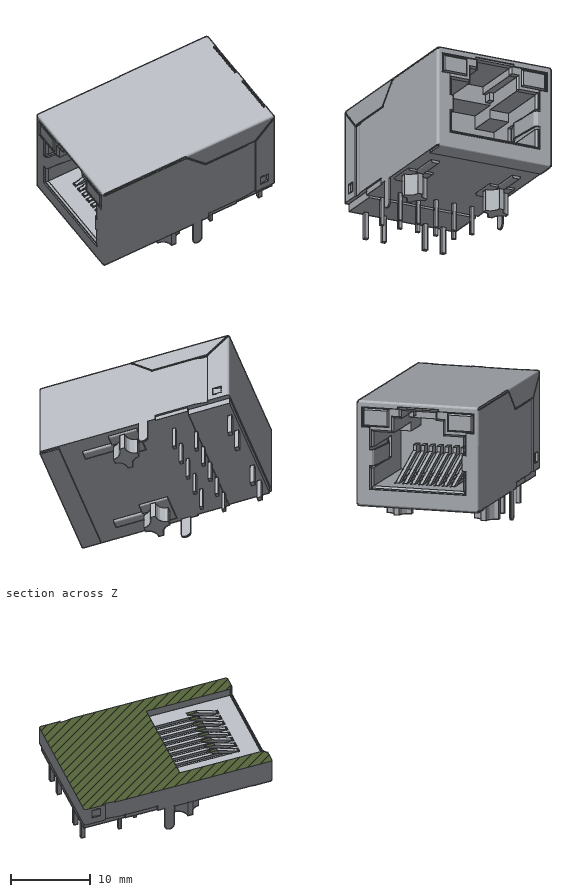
import cadquery as cq
import math


width = 16.2
length = 25.3
top_z = 13.23
half_width = width / 2
sheet = 0.2
bend_radius = 0.3
pad_depth = 0.28
lip_length = 2.55
raised_start = 15.43
raised_z = 0.75
inner_half = half_width - sheet

flap_front = 14.98
flap_rear = 22.42
flap_z = 10.15
flap_gap = 0.15
corner_slot_width = 0.18
corner_slot_height = 0.28

jog_length = 1.97
jog_overcut = 0.25
latch_y = 23.68
latch_z = 2.33
latch_length = 1.15
latch_height = 1.25
latch_depth = 0.4
latch_rise = 0.35
latch_fall = 0.15
latch_gap = 0.1

rear_notch_x = 3.42
rear_notch_width = 5.1
rear_notch_depth = 0.45
rear_notch_height = 0.3
rear_slit_y = 25.0
rear_slit_width = 0.13
rear_slit_depth = 0.25

mouth_half = 6.17
mouth_floor = 2.1
mouth_shoulder = 9.56
step_half = 3.52
step_z = 11.45
key_half = 2.5
key_z = 12.47
mouth_bevel = 0.25
cavity_depth = 11.65
stop_y = 7.6
shoulder_stop_z = 8.15
latch_stop_z = 9.9
stop_block_half = 2.65
stop_block_z = 10.17
stop_block_length = 1.0

window_half = 6.35
window_floor = 1.95
led_window_half = 7.41
led_window_floor = 9.9
led_window_top = 12.42
key_window_half = 2.68
key_window_top = 12.7

lens_x = 5.55
lens_z = 11.13
lens_width = 3.36
lens_height = 2.3
lens_bevel = 0.18

spring_bottom = 4.98
spring_height = 2.05
spring_bend = 0.45
spring_reach = 5.35
spring_tip_start = 4.68
spring_tip_end = 5.09
spring_end = 7.2
relief_margin = 0.33
relief_depth = 7.85

wire_count = 8
wire_span = 7.3
wire_pitch = wire_span / (wire_count - 1)
wire_width = 0.45
wire_thickness = 0.35
wire_slot_width = 0.6
wire_slot_front = 2.88
wire_slot_depth = 0.38
wire_start_y = 3.04
wire_bend_y = 10.37
wire_bend_z = 5.09
wire_top_z = 5.8

base_front = 19.68
base_rear = 25.15
base_half = 7.55
pin_count = 10
pin_span = 11.44
pin_pitch = pin_span / (pin_count - 1)
pin_width = 0.45
pin_length_y = 0.38
pin_bottom = -3.67
pin_rows_y = (19.68, 17.18)
led_pin_size = 0.53
led_pin_y = 24.55
led_pins_x = (2.93, 5.46)
leg_bottom = -3.77
leg_y = 13.85
leg_width = 1.25
post_x = 5.75
post_y = 10.78
post_size = 3.2
post_scallop = 1.26
post_bottom = -3.09
pad_length = 3.8
pad_width = 3.55
pad_y = 10.9
pad_rounding = 0.25
rib_front = 5.15
rib_width = 1.2
rib_bottom = -0.35
rib_rounding = 0.3


def block(x0, x1, y0, y1, z0, z1):
    """Axis-aligned box between two corners."""
    return cq.Workplane("XY").box(x1 - x0, y1 - y0, z1 - z0, centered=False).translate((x0, y0, z0))


def both_sides(solid):
    """The solid together with its mirror image across the YZ plane."""
    return solid.union(solid.mirror("YZ"))


def front_outline(points, y):
    """Closed outline symmetric about X = 0 from its right half, on the plane Y = y."""
    mirrored = [(-x, z) for x, z in reversed(points)]
    return cq.Workplane("XZ", origin=(0, y, 0)).polyline(points + mirrored).close()


def make_shell():
    """Outer block of the shield with its lower edge stepped along the length."""
    shell = block(-half_width, half_width, 0, length, -pad_depth, top_z).edges().fillet(bend_radius)
    shell = shell.cut(block(-half_width, half_width, lip_length, length, -pad_depth, 0))
    shell = shell.cut(both_sides(block(inner_half, half_width, 0, length, -pad_depth, 0)))
    shell = shell.cut(both_sides(block(inner_half, half_width, raised_start, length, 0, raised_z)))
    shell = shell.cut(block(-half_width, half_width, base_rear, length, 0, raised_z))
    return shell.cut(both_sides(block(base_half, half_width, base_front, length, 0, raised_z)))


def flap_outline(inset):
    """Trapezoid with 45 degree ends that the side flap fills, shrunk evenly by the inset."""
    corner_shift = inset * math.tan(math.pi / 8)
    bottom = flap_z + inset
    top = top_z - bend_radius
    rise = top - bottom
    front = flap_front + corner_shift
    rear = flap_rear - corner_shift
    points = [(front, bottom), (rear, bottom), (rear + rise, top), (front - rise, top)]
    return cq.Workplane("YZ", origin=(inner_half, 0, 0)).polyline(points).close().extrude(sheet)


def make_flap_gaps():
    """Gaps around the side flaps and along the front top corners."""
    gap = flap_outline(0).cut(flap_outline(flap_gap))
    slot_rear = flap_front - (top_z - bend_radius - flap_z)
    corner_slot = block(half_width - corner_slot_width, half_width, 0, slot_rear,
                        top_z - corner_slot_height, top_z)
    return both_sides(gap.union(corner_slot))


def make_wall_jogs():
    """S-shaped step of the side wall that dives under the rear wall flap."""
    start = flap_rear - jog_length
    jog = (
        cq.Workplane("XY", origin=(0, 0, raised_z))
        .moveTo(half_width, start - jog_overcut)
        .lineTo(half_width, start)
        .tangentArcPoint((half_width - sheet / 2, start + jog_length / 2), relative=False)
        .tangentArcPoint((inner_half, flap_rear), relative=False)
        .lineTo(half_width + jog_overcut, flap_rear)
        .lineTo(half_width + jog_overcut, start - jog_overcut)
        .close()
        .extrude(flap_z - raised_z)
    )
    return both_sides(jog)


def make_latch_windows():
    """Square hole in each rear flap, partly filled by a ramped lug."""
    y0 = latch_y - latch_length / 2
    z0 = latch_z - latch_height / 2
    floor = half_width - latch_depth
    hole = block(floor, half_width, y0, y0 + latch_length, z0, z0 + latch_height)
    lug_rear = y0 + latch_length - latch_gap
    lug = (
        cq.Workplane("XY", origin=(0, 0, z0))
        .polyline([(floor, y0), (floor + latch_rise, y0), (floor + latch_fall, lug_rear), (floor, lug_rear)])
        .close()
        .extrude(latch_height)
    )
    return both_sides(hole.cut(lug))


def make_rear_notches():
    """Notches in the top rear edge with a slit between the top plate and the rear wall."""
    x0 = rear_notch_x - rear_notch_width / 2
    x1 = rear_notch_x + rear_notch_width / 2
    floor = top_z - rear_notch_height
    notch = block(x0, x1, length - rear_notch_depth, length, floor, top_z)
    slit = block(x0, x1, rear_slit_y, rear_slit_y + rear_slit_width, floor - rear_slit_depth, floor)
    return both_sides(notch.union(slit))


def make_front_window():
    """Opening in the front sheet around the mouth and the lenses."""
    points = [
        (window_half, window_floor),
        (window_half, led_window_floor),
        (led_window_half, led_window_floor),
        (led_window_half, led_window_top),
        (key_window_half, led_window_top),
        (key_window_half, key_window_top),
    ]
    return front_outline(points, 0).extrude(-sheet)


def mouth_outline(inset, y):
    """Stepped outline of the plug opening, shrunk evenly by the inset."""
    points = [
        (mouth_half - inset, mouth_floor + inset),
        (mouth_half - inset, mouth_shoulder - inset),
        (step_half - inset, mouth_shoulder - inset),
        (step_half - inset, step_z - inset),
        (key_half - inset, step_z - inset),
        (key_half - inset, key_z - inset),
    ]
    return front_outline(points, y)


def make_cavity():
    """Plug cavity with a bevelled mouth, plug stops and side reliefs for the springs."""
    bevel = mouth_outline(0, sheet).extrude(-mouth_bevel, taper=45)
    cavity = mouth_outline(mouth_bevel, sheet).extrude(sheet - cavity_depth)
    step_inner = step_half - mouth_bevel
    shoulder_stop = block(step_inner, mouth_half, stop_y, cavity_depth, shoulder_stop_z, top_z)
    cavity = cavity.cut(both_sides(shoulder_stop))
    cavity = cavity.cut(block(-step_inner, step_inner, stop_y, cavity_depth, latch_stop_z, top_z))
    stop_block = block(stop_block_half, step_inner, stop_y - stop_block_length, stop_y, stop_block_z, step_z)
    cavity = cavity.cut(both_sides(stop_block))
    relief = block(0, window_half, sheet, relief_depth,
                   spring_bottom - relief_margin, spring_bottom + spring_height + relief_margin)
    return bevel.union(cavity).union(both_sides(relief))


def make_springs():
    """Sheet tabs folded from the window edge into the mouth, ending in a bent tip."""
    bend_start = mouth_half
    bend_end = bend_start - spring_bend
    diagonal = math.sqrt(0.5)
    outer = spring_bend
    inner = spring_bend - sheet
    spring = (
        cq.Workplane("XY", origin=(0, 0, spring_bottom))
        .moveTo(window_half + sheet, 0)
        .lineTo(bend_start, 0)
        .threePointArc((bend_start - outer * diagonal, outer - outer * diagonal), (bend_end, outer))
        .lineTo(spring_reach, spring_tip_start)
        .lineTo(spring_reach, spring_tip_end)
        .lineTo(window_half - sheet, spring_end)
        .lineTo(window_half, spring_end)
        .lineTo(spring_reach + sheet, spring_tip_end)
        .lineTo(spring_reach + sheet, spring_tip_start)
        .lineTo(bend_end + sheet, outer)
        .threePointArc((bend_start - inner * diagonal, outer - inner * diagonal), (bend_start, sheet))
        .lineTo(window_half + sheet, sheet)
        .close()
        .extrude(spring_height)
    )
    return both_sides(spring)


def make_lenses():
    """Bevelled indicator lenses in the upper corners of the window."""
    lens = block(lens_x - lens_width / 2, lens_x + lens_width / 2, 0, sheet,
                 lens_z - lens_height / 2, lens_z + lens_height / 2)
    return both_sides(lens.faces("<Y").chamfer(lens_bevel))


def wire_positions():
    """X positions of the contact wires."""
    return [(i - (wire_count - 1) / 2) * wire_pitch for i in range(wire_count)]


def make_wire_slots():
    """Slots in the cavity floor below the contact wires."""
    floor = mouth_floor + mouth_bevel
    slots = cq.Workplane("XY")
    for x in wire_positions():
        slots = slots.union(block(x - wire_slot_width / 2, x + wire_slot_width / 2,
                                  wire_slot_front, cavity_depth, floor - wire_slot_depth, floor))
    return slots


def make_wires():
    """Sloping contact wires from the cavity floor to an upright step at the back wall."""
    floor = mouth_floor + mouth_bevel
    profile = [
        (wire_start_y, floor),
        (wire_bend_y, wire_bend_z),
        (wire_bend_y, wire_top_z),
        (cavity_depth, wire_top_z),
        (cavity_depth, wire_bend_z - wire_thickness),
        (wire_bend_y + wire_thickness, wire_bend_z - wire_thickness),
        (wire_start_y + wire_thickness, floor - wire_slot_depth),
        (wire_start_y, floor - wire_slot_depth),
    ]
    wire = cq.Workplane("YZ").polyline(profile).close().extrude(wire_width / 2, both=True)
    wires = cq.Workplane("XY")
    for x in wire_positions():
        wires = wires.add(wire.translate((x, 0, 0)))
    return wires


def make_pins():
    """Staggered signal pins in two rows and four square indicator pins at the rear."""
    pins = cq.Workplane("XY")
    for i in range(pin_count):
        x = (i - (pin_count - 1) / 2) * pin_pitch
        y = pin_rows_y[i % len(pin_rows_y)]
        pins = pins.add(block(x - pin_width / 2, x + pin_width / 2,
                              y - pin_length_y / 2, y + pin_length_y / 2, pin_bottom, raised_z))
    half = led_pin_size / 2
    for x in led_pins_x:
        pin = block(x - half, x + half, led_pin_y - half, led_pin_y + half, leg_bottom, raised_z)
        pins = pins.add(both_sides(pin))
    return pins


def make_legs():
    """Round-ended ground legs continuing the side walls."""
    radius = leg_width / 2
    leg = (
        cq.Workplane("YZ", origin=(inner_half, 0, 0))
        .moveTo(leg_y - radius, raised_z)
        .lineTo(leg_y - radius, leg_bottom + radius)
        .threePointArc((leg_y, leg_bottom), (leg_y + radius, leg_bottom + radius))
        .lineTo(leg_y + radius, raised_z)
        .close()
        .extrude(sheet)
    )
    return both_sides(leg)


def make_posts():
    """Locating posts with scalloped corners, each on a rounded pad with a narrower rib in front."""
    half = post_size / 2
    scallops = (
        cq.Workplane("XY", origin=(post_x, post_y, post_bottom))
        .rect(post_size, post_size, forConstruction=True)
        .vertices()
        .circle(post_scallop)
        .extrude(-post_bottom)
    )
    post = block(post_x - half, post_x + half, post_y - half, post_y + half, post_bottom, 0).cut(scallops)
    pad = block(post_x - pad_width / 2, post_x + pad_width / 2,
                pad_y - pad_length / 2, pad_y + pad_length / 2, -pad_depth, 0)
    pad = pad.edges("|Y and <Z").fillet(pad_rounding)
    rib = block(post_x - rib_width / 2, post_x + rib_width / 2, rib_front, pad_y, rib_bottom, 0)
    rib = rib.edges("|Y and <Z").fillet(rib_rounding)
    return both_sides(post.union(pad).union(rib))


body = make_shell()
for removed in (make_flap_gaps(), make_wall_jogs(), make_latch_windows(), make_rear_notches(),
                make_front_window(), make_cavity(), make_wire_slots()):
    body = body.cut(removed)

base = block(-base_half, base_half, base_front, base_rear, -pad_depth, raised_z)
for added in (base, make_springs(), make_lenses(), make_legs(), make_posts()):
    body = body.union(added)
for group in (make_wires(), make_pins()):
    for piece in group.vals():
        body = body.union(cq.Workplane(piece))

result = body